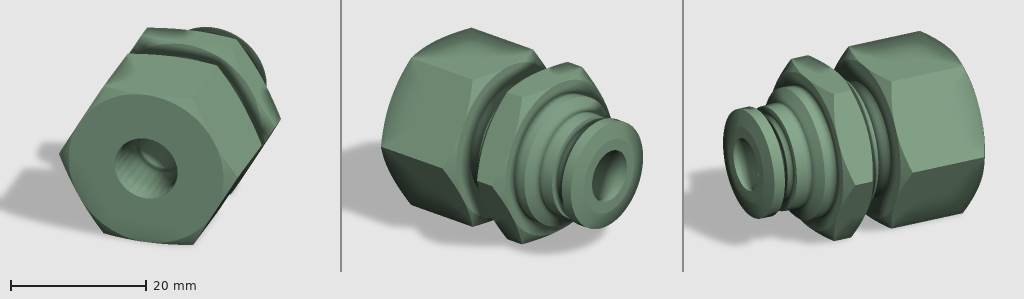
import cadquery as cq
import math

TOTAL_LENGTH = 33.55

ACROSS_FLATS = 24.0
ACROSS_CORNERS = ACROSS_FLATS / math.cos(math.radians(30))
CORNER_BEVEL_ANGLE = 30.0
BODY_HEX_LENGTH = 14.02
LOCKNUT_START = 18.55
LOCKNUT_LENGTH = 5.0

NECK_RADIUS = 8.75
NECK_END = 15.95
BARREL_RADIUS = 10.0
BARREL_START = 16.67
BARREL_END = 25.55

GUIDE_RADIUS = 8.02
GUIDE_START = 26.7
GUIDE_TAPER_START = 27.28
GUIDE_TIP_RADIUS = 7.92
GUIDE_END = 29.15

COLLAR_RADIUS = 6.75
COLLAR_END = 30.05
SLEEVE_RADIUS = 5.95
FLANGE_RADIUS = 8.3
FLANGE_START = 31.35
FLANGE_BEVEL_START = 33.08
FLANGE_FACE_RADIUS = 5.77

PORT_MOUTH_RADIUS = 4.85
PORT_DEPTH = 9.05
PORT_DIAMETER_TAPER = 1 / 16
PORT_END_RADIUS = PORT_MOUTH_RADIUS - PORT_DEPTH * PORT_DIAMETER_TAPER / 2
BORE_RADIUS = 4.0


def revolve_about_y(points):
    """Turn a closed (radius, y) outline about the Y axis."""
    return cq.Workplane("XY").polyline(points).close().revolve(360, (0, 0, 0), (0, 1, 0))


def beveled_hex(start, length):
    """Hexagon along Y with conical bevels on the corners at both ends."""
    end = start + length
    face_radius = ACROSS_FLATS / 2
    corner_radius = ACROSS_CORNERS / 2
    bevel = (corner_radius - face_radius) * math.tan(math.radians(CORNER_BEVEL_ANGLE))
    prism = (
        cq.Workplane("XZ", origin=(0, start, 0))
        .polygon(6, ACROSS_CORNERS)
        .extrude(-length)
    )
    envelope = revolve_about_y([
        (0, start),
        (face_radius, start),
        (corner_radius, start + bevel),
        (corner_radius, end - bevel),
        (face_radius, end),
        (0, end),
    ])
    return prism.intersect(envelope)


def turned_body():
    """Neck, barrel, guide and release sleeve as one turned outline."""
    return revolve_about_y([
        (0, 0),
        (NECK_RADIUS, 0),
        (NECK_RADIUS, NECK_END),
        (BARREL_RADIUS, BARREL_START),
        (BARREL_RADIUS, BARREL_END),
        (GUIDE_RADIUS, GUIDE_START),
        (GUIDE_RADIUS, GUIDE_TAPER_START),
        (GUIDE_TIP_RADIUS, GUIDE_END),
        (COLLAR_RADIUS, GUIDE_END),
        (COLLAR_RADIUS, COLLAR_END),
        (SLEEVE_RADIUS, COLLAR_END),
        (SLEEVE_RADIUS, FLANGE_START),
        (FLANGE_RADIUS, FLANGE_START),
        (FLANGE_RADIUS, FLANGE_BEVEL_START),
        (FLANGE_FACE_RADIUS, TOTAL_LENGTH),
        (0, TOTAL_LENGTH),
    ])


def port_and_bore():
    """Hollow of the tapered port and the through bore."""
    return revolve_about_y([
        (0, 0),
        (PORT_MOUTH_RADIUS, 0),
        (PORT_END_RADIUS, PORT_DEPTH),
        (BORE_RADIUS, PORT_DEPTH),
        (BORE_RADIUS, TOTAL_LENGTH),
        (0, TOTAL_LENGTH),
    ])


body_hex = beveled_hex(0, BODY_HEX_LENGTH)
locknut = beveled_hex(LOCKNUT_START, LOCKNUT_LENGTH)
result = turned_body().union(body_hex).union(locknut).cut(port_and_bore())